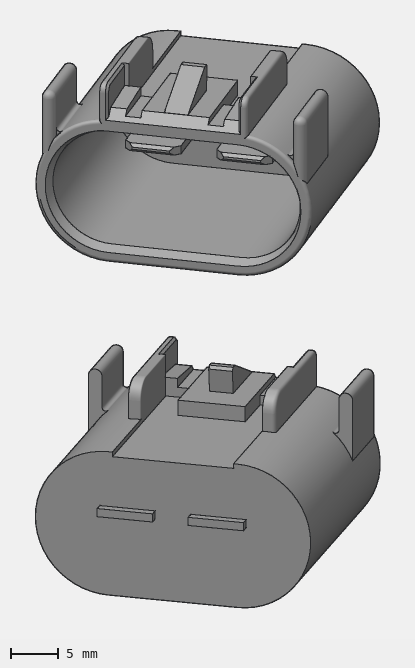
import cadquery as cq
import math


SHELL_WIDTH = 30.0
SHELL_HEIGHT = 15.9
SHELL_LENGTH = 26.4
SHELL_RADIUS = SHELL_HEIGHT / 2
SHELL_AXIS_Z = SHELL_HEIGHT / 2
ARC_CENTRE_X = SHELL_WIDTH / 2 - SHELL_RADIUS
EDGE_FILLET = 0.4

LIP_THICKNESS = 1.1
WALL_THICKNESS = 1.55
LEAD_IN_DEPTH = 1.35
END_WALL = WALL_THICKNESS

CHANNEL_HALF_WIDTH = 6.6
CHANNEL_FLOOR_Z = 15.4

OVERALL_HEIGHT = 19.98
ROOT_Z = 15.15
GUARD_OUTER_X = 8.07
GUARD_INNER_X = CHANNEL_HALF_WIDTH
GUARD_LENGTH = 15.7
GUARD_REAR_RADIUS = 2.07
GUARD_FRONT_RADIUS = 1.0
GUARD_INNER_FILLET = 0.12
RECESS_X = 7.08
RECESS_LENGTH = 6.42
RECESS_CHAMFER = 0.27

PAD_TOP_Z = 17.07
PAD_HALF_WIDTH = 3.65
PAD_LENGTH = 11.95
BEVEL = 1.08
GROOVE_FLOOR_Z = 16.47
GROOVE_OUTER_X = 5.3
LEDGE_REAR_Z = 17.45

HOOK_WIDTH = 2.58
HOOK_FRONT_Y = 1.15
HOOK_CREST_FRONT_Y = 7.62
HOOK_CREST_REAR_Y = 8.35
HOOK_TIP_Y = 8.58
HOOK_TIP_Z = 19.62
HOOK_FOOT_Y = 8.28

FLAP_OUTER_X = 14.4
FLAP_THICKNESS = 1.5
FLAP_LENGTH = 8.6
FLAP_TOP_Z = 18.42
FLAP_ROOT_Z = 9.0
FLAP_ROOT_FILLET = 0.4

BLADE_X = 4.95
BLADE_Z = 9.4
BLADE_WIDTH = 6.03
BLADE_THICKNESS = 0.9
BLADE_TIP_Y = 9.0
BLADE_TAIL = 1.0
BLADE_SIDE_BEVEL = 1.0
BLADE_FACE_BEVEL = 0.33
BLADE_FACE_BEVEL_LENGTH = 0.4


def box(x_range, y_range, z_range):
    """Box between two limits on each axis."""
    size = [limits[1] - limits[0] for limits in (x_range, y_range, z_range)]
    corner = (x_range[0], y_range[0], z_range[0])
    return cq.Workplane("XY").box(*size, centered=False).translate(corner)


def side_prism(points, x_start, x_end):
    """Closed (Y, Z) outline extruded along X."""
    return cq.Workplane("YZ", origin=(x_start, 0, 0)).polyline(points).close().extrude(x_end - x_start)


def stadium(inset, y_start):
    """Shell outline, moved inward by an inset, on the plane Y = y_start."""
    plane = cq.Workplane("XZ", origin=(0, y_start, SHELL_AXIS_Z))
    return plane.slot2D(SHELL_WIDTH - 2 * inset, SHELL_HEIGHT - 2 * inset)


def make_shell():
    """Solid stadium with a rounded mouth edge and the channel along its top."""
    shell = stadium(0, 0).extrude(-SHELL_LENGTH).faces("<Y").edges().fillet(EDGE_FILLET)
    channel = box(
        (-CHANNEL_HALF_WIDTH, CHANNEL_HALF_WIDTH),
        (0, SHELL_LENGTH),
        (CHANNEL_FLOOR_Z, SHELL_HEIGHT),
    )
    return shell.cut(channel)


def make_cavity():
    """Socket void: a tapered lead-in at the mouth, then straight to the end wall."""
    taper = math.degrees(math.atan((WALL_THICKNESS - LIP_THICKNESS) / LEAD_IN_DEPTH))
    lead_in = stadium(LIP_THICKNESS, 0).extrude(-LEAD_IN_DEPTH, taper=taper)
    socket = stadium(WALL_THICKNESS, 0).extrude(-(SHELL_LENGTH - END_WALL))
    return lead_in.union(socket)


def guard_rim(guard, x):
    """Front, top and rear edges of a guard face that lies in the plane at the given X."""
    tolerance = 0.003
    rim = []
    for edge in guard.edges().vals():
        bounds = edge.BoundingBox()
        in_plane = abs(bounds.xmin - x) < tolerance and abs(bounds.xmax - x) < tolerance
        at_root = bounds.zmax < ROOT_Z + tolerance
        at_recess_end = bounds.ylen < tolerance and abs(bounds.center.y - RECESS_LENGTH) < tolerance
        if in_plane and not at_root and not at_recess_end:
            rim.append(edge)
    return guard.newObject(rim)


def make_right_guard():
    """Upright plate with rounded corners, thinned on its inner side near the mouth."""
    guard = box((GUARD_INNER_X, GUARD_OUTER_X), (0, GUARD_LENGTH), (ROOT_Z, OVERALL_HEIGHT))
    guard = guard.edges("|X and >Z and >Y").fillet(GUARD_REAR_RADIUS)
    guard = guard.edges("|X and >Z and <Y").fillet(GUARD_FRONT_RADIUS)
    guard = guard_rim(guard, GUARD_OUTER_X).fillet(EDGE_FILLET)
    guard = guard_rim(guard, GUARD_INNER_X).fillet(GUARD_INNER_FILLET)
    recess = box((GUARD_INNER_X, RECESS_X), (0, RECESS_LENGTH), (ROOT_Z, OVERALL_HEIGHT))
    guard = guard.cut(recess)
    return guard_rim(guard, RECESS_X).chamfer(RECESS_CHAMFER)


def make_latch_pad():
    """Pad across the channel with a bevelled front, two grooves and two sloped ledges."""
    front_z = PAD_TOP_Z - BEVEL

    def profile(top_front_z, rear_y, top_rear_z):
        bevel_y = top_front_z - front_z
        return [(0, ROOT_Z), (0, front_z), (bevel_y, top_front_z), (rear_y, top_rear_z), (rear_y, ROOT_Z)]

    pad = side_prism(profile(PAD_TOP_Z, PAD_LENGTH, PAD_TOP_Z), -PAD_HALF_WIDTH, PAD_HALF_WIDTH)
    groove_floor = side_prism(
        profile(GROOVE_FLOOR_Z, RECESS_LENGTH, GROOVE_FLOOR_Z), -GROOVE_OUTER_X, GROOVE_OUTER_X
    )
    pad = pad.union(groove_floor)
    ledge_outer_x = RECESS_X + RECESS_CHAMFER
    ledge = side_prism(profile(PAD_TOP_Z, RECESS_LENGTH, LEDGE_REAR_Z), GROOVE_OUTER_X, ledge_outer_x)
    return pad.union(ledge).union(ledge.mirror("YZ"))


def make_hook():
    """Ramp rising from the mouth to an undercut rear face."""
    profile = [
        (HOOK_FRONT_Y, PAD_TOP_Z),
        (HOOK_CREST_FRONT_Y, OVERALL_HEIGHT),
        (HOOK_CREST_REAR_Y, OVERALL_HEIGHT),
        (HOOK_TIP_Y, HOOK_TIP_Z),
        (HOOK_FOOT_Y, PAD_TOP_Z),
    ]
    return side_prism(profile, -HOOK_WIDTH / 2, HOOK_WIDTH / 2)


def make_right_flap():
    """Upright flap with a fully rounded top and front edge, and a ball at their corner."""
    radius = FLAP_THICKNESS / 2
    centre_x = FLAP_OUTER_X - radius
    straight_top_z = FLAP_TOP_Z - radius
    x_range = (FLAP_OUTER_X - FLAP_THICKNESS, FLAP_OUTER_X)
    web = box(x_range, (radius, FLAP_LENGTH), (FLAP_ROOT_Z, straight_top_z))
    top_round = (
        cq.Workplane("XZ", origin=(centre_x, radius, straight_top_z))
        .circle(radius)
        .extrude(-(FLAP_LENGTH - radius))
    )
    front_round = (
        cq.Workplane("XY", origin=(centre_x, radius, FLAP_ROOT_Z))
        .circle(radius)
        .extrude(straight_top_z - FLAP_ROOT_Z)
    )
    corner = cq.Workplane("XY").sphere(radius).translate((centre_x, radius, straight_top_z))
    return web.union(top_round).union(front_round).union(corner)


def make_right_flap_fillet():
    """Concave fillet in the corner between the flap's inner face and the shell's round side."""
    inner_x = FLAP_OUTER_X - FLAP_THICKNESS
    front_y = FLAP_THICKNESS / 2
    root_z = SHELL_AXIS_Z + math.sqrt(SHELL_RADIUS**2 - (inner_x - ARC_CENTRE_X) ** 2)
    ball_x = inner_x - FLAP_ROOT_FILLET
    ball_distance = SHELL_RADIUS + FLAP_ROOT_FILLET
    ball_angle = math.acos((ball_x - ARC_CENTRE_X) / ball_distance)
    ball_z = SHELL_AXIS_Z + ball_distance * math.sin(ball_angle)
    shell_touch = (
        ARC_CENTRE_X + SHELL_RADIUS * math.cos(ball_angle),
        SHELL_AXIS_Z + SHELL_RADIUS * math.sin(ball_angle),
    )
    middle_angle = (ball_angle - math.pi) / 2
    arc_middle = (
        ball_x + FLAP_ROOT_FILLET * math.cos(middle_angle),
        ball_z + FLAP_ROOT_FILLET * math.sin(middle_angle),
    )
    buried_x = FLAP_OUTER_X - FLAP_THICKNESS / 2
    return (
        cq.Workplane("XZ", origin=(0, front_y, 0))
        .moveTo(buried_x, ball_z)
        .lineTo(inner_x, ball_z)
        .threePointArc(arc_middle, shell_touch)
        .lineTo(inner_x, root_z)
        .lineTo(buried_x, root_z)
        .close()
        .extrude(-(FLAP_LENGTH - front_y))
    )


def make_blade(x):
    """Flat terminal with a bevelled tip, its tail standing out of the end wall."""
    tail_y = SHELL_LENGTH + BLADE_TAIL
    half_width = BLADE_WIDTH / 2
    half_thickness = BLADE_THICKNESS / 2
    side_outline = [
        (x - half_width + BLADE_SIDE_BEVEL, BLADE_TIP_Y),
        (x + half_width - BLADE_SIDE_BEVEL, BLADE_TIP_Y),
        (x + half_width, BLADE_TIP_Y + BLADE_SIDE_BEVEL),
        (x + half_width, tail_y),
        (x - half_width, tail_y),
        (x - half_width, BLADE_TIP_Y + BLADE_SIDE_BEVEL),
    ]
    plan = cq.Workplane("XY", origin=(0, 0, BLADE_Z - half_thickness)).polyline(side_outline).close()
    tip_half = half_thickness - BLADE_FACE_BEVEL
    bevel_end_y = BLADE_TIP_Y + BLADE_FACE_BEVEL_LENGTH
    face_outline = [
        (BLADE_TIP_Y, BLADE_Z - tip_half),
        (BLADE_TIP_Y, BLADE_Z + tip_half),
        (bevel_end_y, BLADE_Z + half_thickness),
        (tail_y, BLADE_Z + half_thickness),
        (tail_y, BLADE_Z - half_thickness),
        (bevel_end_y, BLADE_Z - half_thickness),
    ]
    return plan.extrude(BLADE_THICKNESS).intersect(
        side_prism(face_outline, x - half_width, x + half_width)
    )


blades = [make_blade(side * BLADE_X) for side in (-1, 1)]

right_flap = make_right_flap().union(make_right_flap_fillet())
right_guard = make_right_guard()
housing = make_shell().union(make_latch_pad()).union(make_hook())
for right_part in (right_flap, right_guard):
    housing = housing.union(right_part).union(right_part.mirror("YZ"))
housing = housing.cut(make_cavity())
for blade in blades:
    housing = housing.cut(blade)

result = cq.Compound.makeCompound([housing.solids().val(), *[blade.solids().val() for blade in blades]])